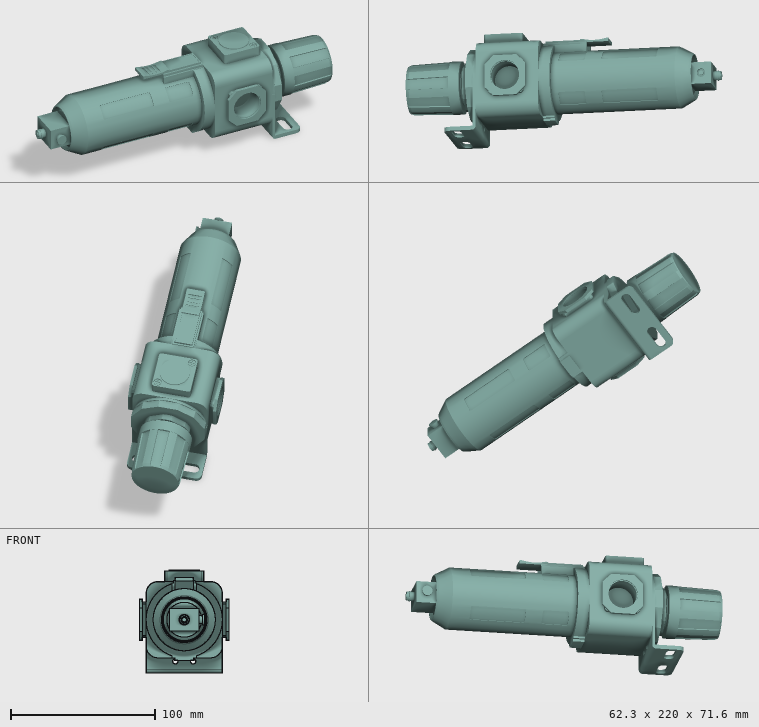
import cadquery as cq


LENGTH = 220.0

KNOB_GRIP_END = 30.1
KNOB_END = 37.6
NECK_END = 39.5
NUT_END = 43.8
COLLAR_END = 49.3
BODY_START = 51.3
BODY_END = 95.5
RING_END = 103.5
BOWL_EDGE = 190.7
BOWL_END = 201.0
DRAIN_BLOCK_END = 214.3

BODY_HALF = 26.5
BODY_CORNER_RADIUS = 8.1
KNOB_TOP_RADIUS = 17.4
KNOB_GRIP_RADIUS = 18.3
KNOB_RIM_RADIUS = 18.5
KNOB_EDGE_WIDTH = 0.9
KNOB_EDGE_LENGTH = 2.2
NECK_RADIUS = 12.5
NECK_RING_RADIUS = 13.6
NECK_RING_WIDTH = 0.7
NUT_FLAT_DISTANCE = 32.1
NUT_TIP_RADIUS = 17.0
COLLAR_CORNERS = ((6.8, 25.0), (18.5, 18.7), (26.0, 6.4))
BOWL_RADIUS = 21.5
BOWL_END_RADIUS = 16.7

GROOVE_COUNT = 8
GROOVE_FLOOR_WIDTH = 7.0
GROOVE_RIM_WIDTH = 8.8
GROOVE_DEPTH = 1.3
GROOVE_START = 0.7
GROOVE_CLEARANCE = 2.2

PLATE_BOTTOM = -37.0
PLATE_TOP_RADIUS = 26.2
FOOT_THICKNESS = 2.9
FOOT_START = 28.5
FOOT_CORNER_RADIUS = 4.0
BEND_RADIUS = 2.6
FOOT_SLOT_WIDTH = 6.8
FOOT_SLOT_OUTER = 23.8
FOOT_SLOT_INNER = 6.5
FOOT_SLOT_STATION = 36.7
PLATE_HOLE_DIAMETER = 3.5
PLATE_HOLE_X = 6.2
PLATE_HOLE_Z = -28.8
GUSSET_SIDE = 4.2
GUSSET_WIDTH = 4.2

PORT_STATION = 72.8
PORT_SPAN = 62.3
PORT_FACE_X = PORT_SPAN / 2
PORT_FLANGE_WIDTH = 28.5
PORT_FLANGE_CHAMFER = 6.2
PORT_FLANGE_THICKNESS = 2.2
PORT_NECK_WIDTH = 24.6
PORT_NECK_CHAMFER = 1.5
PORT_DIAMETER = 21.0
PORT_DEPTH = 15.5
PORT_LIP_DEPTH = 1.0
PORT_BORE_DIAMETER = 19.8

GAUGE_WIDTH = 27.3
GAUGE_STATION = 68.2
GAUGE_TOP = 33.9
GAUGE_CORNER_RADIUS = 1.5
GAUGE_DISC_DIAMETER = 21.0
GAUGE_DISC_HEIGHT = 0.7
SCREW_OFFSET = 10.1
SCREW_POCKET_DIAMETER = 5.5
SCREW_POCKET_DEPTH = 0.9
SCREW_HEAD_DIAMETER = 4.8
SCREW_HEAD_HEIGHT = 0.7
SCREW_CROSS_LENGTH = 3.5
SCREW_CROSS_WIDTH = 0.9

WINDOW_WIDTH = 10.5
WINDOW_DEPTH = 0.7
WINDOW_CORNER_RADIUS = 0.9
SHORT_WINDOW = (108.2, 126.7)
LONG_WINDOW = (138.5, 177.3)

LATCH_HALF_WIDTH = 6.4
LATCH_START = 96.5
LATCH_PANEL_END = 121.0
LATCH_END = 141.0
LATCH_TOP = 28.5
LATCH_BOTTOM = 26.8
LATCH_GRIP_TOP = 28.2
LATCH_RIDGE_TOP = 29.3
LATCH_RIDGE_WIDTH = 1.5
PANEL_HALF_WIDTH = 5.5
PANEL_START = 97.5
PANEL_DEPTH = 0.33
GRIP_SLOT_LENGTH = 9.2
GRIP_SLOT_WIDTH = 1.8
GRIP_SLOT_DEPTH = 0.33
GRIP_SLOT_STATIONS = (127.5, 130.2, 133.5, 136.2)
HOUSING_HALF_WIDTH = 8.5
HOUSING_STEP_Z = 25.3
HOUSING_UPPER_HALF_WIDTH = 7.5
HOUSING_CAVITY_HALF_WIDTH = 6.4
HOUSING_END = 126.0
HOUSING_TOP = 27.0
LOWER_TAB_BOTTOM = -28.2
LOWER_TAB_HALF_WIDTH = 6.5
LOWER_TAB_STEP_Z = -26.5

LIP_LENGTH = 1.3
LIP_RADIUS = 15.8
RECESS_RADIUS = 15.2
RECESS_DEPTH = 4.0
PLUG_BASE_RADIUS = 14.5
PLUG_TOP_RADIUS = 12.0
PLUG_TOP_DEPTH = 1.8

DRAIN_BLOCK_WIDTH = 20.7
DRAIN_BLOCK_HEIGHT = 15.5
DRAIN_STEM_DIAMETER = 6.4
DRAIN_FLANGE_DIAMETER = 7.3
DRAIN_FLANGE_STATION = 217.1
DRAIN_FLANGE_THICKNESS = 0.7
DRAIN_BORE_DIAMETER = 4.5
DRAIN_PIN_DIAMETER = 3.0
DRAIN_STEM_END = 219.5
DRAIN_BORE_START = 217.4
SIDE_STATION = 207.2
SIDE_STEM_DIAMETER = 5.5
SIDE_HEAD_DIAMETER = 7.0
SIDE_HEAD_THICKNESS = 1.0
SIDE_HEAD_END = 13.9
SIDE_HOLE_DIAMETER = 6.0
SIDE_HOLE_DEPTH = 1.0
SIDE_PIN_DIAMETER = 3.0


def section(station):
    """Sketch plane across the axis; local X and Y are global X and Z, extruding towards -Y."""
    return cq.Workplane("XZ", origin=(0, -station, 0))


def rod(radius, start, end):
    return section(start).circle(radius).extrude(end - start)


def centred_block(half_width, stations, z_range):
    """Box centred on X = 0, between two stations and two values in Z."""
    size = (2 * half_width, stations[1] - stations[0], z_range[1] - z_range[0])
    corner = (-half_width, -stations[1], z_range[0])
    return cq.Workplane("XY", origin=corner).box(*size, centered=False)


def revolved(points):
    """Solid of revolution from (radius, station) points."""
    outline = [(radius, -station) for radius, station in points]
    return cq.Workplane("XY").polyline(outline).close().revolve(360, (0, 0, 0), (0, 1, 0))


def knob():
    grip = revolved([
        (0, 0),
        (KNOB_TOP_RADIUS - KNOB_EDGE_WIDTH, 0),
        (KNOB_TOP_RADIUS, KNOB_EDGE_LENGTH),
        (KNOB_GRIP_RADIUS, KNOB_GRIP_END),
        (KNOB_RIM_RADIUS, KNOB_GRIP_END),
        (KNOB_RIM_RADIUS, KNOB_END),
        (0, KNOB_END),
    ])
    floor_start = KNOB_TOP_RADIUS - GROOVE_DEPTH
    floor_end = KNOB_GRIP_RADIUS - GROOVE_DEPTH
    groove_top = KNOB_RIM_RADIUS + GROOVE_CLEARANCE
    groove = (
        cq.Workplane("YZ")
        .polyline([
            (-GROOVE_START, floor_start),
            (-KNOB_GRIP_END, floor_end),
            (-KNOB_GRIP_END, groove_top),
            (-GROOVE_START, groove_top),
        ])
        .close()
        .extrude(GROOVE_RIM_WIDTH, both=True)
    )
    flare = (
        section(GROOVE_START)
        .polyline([
            (-GROOVE_FLOOR_WIDTH / 2, floor_start),
            (GROOVE_FLOOR_WIDTH / 2, floor_start),
            (GROOVE_RIM_WIDTH / 2, KNOB_RIM_RADIUS),
            (GROOVE_RIM_WIDTH / 2, groove_top),
            (-GROOVE_RIM_WIDTH / 2, groove_top),
            (-GROOVE_RIM_WIDTH / 2, KNOB_RIM_RADIUS),
        ])
        .close()
        .extrude(KNOB_GRIP_END - GROOVE_START)
    )
    groove = groove.intersect(flare)
    for index in range(GROOVE_COUNT):
        angle = index * 360 / GROOVE_COUNT
        grip = grip.cut(groove.rotate((0, 0, 0), (0, 1, 0), angle))
    return grip


def nut_and_collar():
    neck = rod(NECK_RADIUS, KNOB_END, NECK_END)
    ring_start = (KNOB_END + NECK_END - NECK_RING_WIDTH) / 2
    neck = neck.union(rod(NECK_RING_RADIUS, ring_start, ring_start + NECK_RING_WIDTH))
    hexagon = section(NECK_END).polygon(6, NUT_FLAT_DISTANCE, circumscribed=True)
    nut = hexagon.extrude(NUT_END - NECK_END)
    nut = nut.intersect(rod(NUT_TIP_RADIUS, NECK_END, NUT_END))
    right = list(COLLAR_CORNERS) + [(x, -z) for x, z in reversed(COLLAR_CORNERS)]
    left = [(-x, -z) for x, z in right]
    collar = section(NUT_END).polyline(right + left).close().extrude(COLLAR_END - NUT_END)
    return neck.union(nut).union(collar)


def bracket():
    plate = rod(PLATE_TOP_RADIUS, COLLAR_END, BODY_START)
    plate = plate.union(centred_block(BODY_HALF, (COLLAR_END, BODY_START), (PLATE_BOTTOM, 0)))
    holes = section(COLLAR_END).pushPoints([(-PLATE_HOLE_X, PLATE_HOLE_Z), (PLATE_HOLE_X, PLATE_HOLE_Z)])
    plate = plate.cut(holes.circle(PLATE_HOLE_DIAMETER / 2).extrude(BODY_START - COLLAR_END))

    foot_top = PLATE_BOTTOM + FOOT_THICKNESS
    foot = centred_block(BODY_HALF, (FOOT_START, BODY_START), (PLATE_BOTTOM, foot_top))
    foot = foot.edges("|Z and >Y").fillet(FOOT_CORNER_RADIUS)
    slot_length = FOOT_SLOT_OUTER - FOOT_SLOT_INNER
    slot_x = (FOOT_SLOT_OUTER + FOOT_SLOT_INNER) / 2
    slots = (
        cq.Workplane("XY", origin=(0, -FOOT_SLOT_STATION, PLATE_BOTTOM))
        .pushPoints([(-slot_x, 0), (slot_x, 0)])
        .slot2D(slot_length, FOOT_SLOT_WIDTH)
        .extrude(FOOT_THICKNESS)
    )
    angle = plate.union(foot.cut(slots)).edges("|X and <Y and <Z").fillet(BEND_RADIUS)

    gusset = (
        cq.Workplane("YZ", origin=(0, -COLLAR_END, foot_top))
        .polyline([(0, 0), (GUSSET_SIDE, 0), (0, GUSSET_SIDE)])
        .close()
        .extrude(GUSSET_WIDTH / 2, both=True)
    )
    return angle.union(gusset)


def body():
    square = section(BODY_START).rect(2 * BODY_HALF, 2 * BODY_HALF).extrude(BODY_END - BODY_START)
    return square.edges("|Y").fillet(BODY_CORNER_RADIUS)


def port_plane(x):
    return cq.Workplane("YZ", origin=(x, -PORT_STATION, 0))


def port_boss():
    """Boss on the +X side; the -X one is its mirror image."""
    flange_back = PORT_FACE_X - PORT_FLANGE_THICKNESS
    neck = port_plane(0).rect(PORT_NECK_WIDTH, PORT_NECK_WIDTH).extrude(flange_back)
    neck = neck.edges("|X").chamfer(PORT_NECK_CHAMFER)
    flange = port_plane(flange_back).rect(PORT_FLANGE_WIDTH, PORT_FLANGE_WIDTH)
    flange = flange.extrude(PORT_FLANGE_THICKNESS).edges("|X").chamfer(PORT_FLANGE_CHAMFER)
    return neck.union(flange)


def port_hole():
    bore = port_plane(PORT_FACE_X).circle(PORT_BORE_DIAMETER / 2).extrude(-PORT_DEPTH)
    lip = port_plane(PORT_FACE_X).circle(PORT_DIAMETER / 2).extrude(-PORT_LIP_DEPTH)
    return bore.union(lip)


def gauge_block():
    base = cq.Workplane("XY", origin=(0, -GAUGE_STATION, 0)).rect(GAUGE_WIDTH, GAUGE_WIDTH)
    base = base.extrude(GAUGE_TOP).edges("|Z").fillet(GAUGE_CORNER_RADIUS)
    top = cq.Workplane("XY", origin=(0, -GAUGE_STATION, GAUGE_TOP))
    screws = top.pushPoints([(SCREW_OFFSET, SCREW_OFFSET), (-SCREW_OFFSET, -SCREW_OFFSET)])
    base = base.cut(screws.circle(SCREW_POCKET_DIAMETER / 2).extrude(-SCREW_POCKET_DEPTH))
    return base.union(top.circle(GAUGE_DISC_DIAMETER / 2).extrude(GAUGE_DISC_HEIGHT))


def gauge_screw(offset):
    """Cross-recessed screw head standing in its pocket."""
    floor = GAUGE_TOP - SCREW_POCKET_DEPTH
    centre = cq.Workplane("XY", origin=(offset, offset - GAUGE_STATION, floor))
    head = centre.circle(SCREW_HEAD_DIAMETER / 2).extrude(SCREW_HEAD_HEIGHT)
    cross = centre.rect(SCREW_CROSS_LENGTH, SCREW_CROSS_WIDTH).extrude(SCREW_HEAD_HEIGHT)
    cross = cross.union(centre.rect(SCREW_CROSS_WIDTH, SCREW_CROSS_LENGTH).extrude(SCREW_HEAD_HEIGHT))
    return head.cut(cross)


def bowl():
    shell = revolved([
        (0, BODY_END),
        (BODY_HALF, BODY_END),
        (BODY_HALF, RING_END),
        (BOWL_RADIUS, RING_END),
        (BOWL_RADIUS, BOWL_EDGE),
        (BOWL_END_RADIUS, BOWL_END - LIP_LENGTH),
        (LIP_RADIUS, BOWL_END),
        (RECESS_RADIUS, BOWL_END),
        (RECESS_RADIUS, BOWL_END - RECESS_DEPTH),
        (PLUG_BASE_RADIUS, BOWL_END - RECESS_DEPTH),
        (PLUG_TOP_RADIUS, BOWL_END - PLUG_TOP_DEPTH),
        (0, BOWL_END - PLUG_TOP_DEPTH),
    ])
    for start, end in (SHORT_WINDOW, LONG_WINDOW):
        window = centred_block(WINDOW_WIDTH / 2, (start, end), (0, BODY_HALF))
        window = window.edges("|Z").fillet(WINDOW_CORNER_RADIUS)
        window = window.cut(rod(BOWL_RADIUS - WINDOW_DEPTH, start, end))
        for angle in (45, 135, 225, 315):
            shell = shell.cut(window.rotate((0, 0, 0), (0, 1, 0), angle))
    return shell


def latch_housing():
    stations = (BODY_END, HOUSING_END)
    upper = centred_block(HOUSING_HALF_WIDTH, stations, (0, HOUSING_STEP_Z))
    upper = upper.union(centred_block(HOUSING_UPPER_HALF_WIDTH, stations, (0, HOUSING_TOP)))
    cavity = centred_block(HOUSING_CAVITY_HALF_WIDTH, (RING_END, HOUSING_END), (0, HOUSING_TOP))
    cavity = cavity.cut(rod(BOWL_RADIUS, RING_END, HOUSING_END))
    upper = upper.cut(cavity)
    ring_stations = (BODY_END, RING_END)
    lower = centred_block(HOUSING_HALF_WIDTH, ring_stations, (LOWER_TAB_STEP_Z, 0))
    lower = lower.union(centred_block(LOWER_TAB_HALF_WIDTH, ring_stations, (LOWER_TAB_BOTTOM, 0)))
    return upper.union(lower)


def latch():
    grip_start = LATCH_PANEL_END + LATCH_RIDGE_WIDTH
    grip_end = LATCH_END - LATCH_RIDGE_WIDTH
    grip_middle = (grip_start + grip_end) / 2
    lever = (
        cq.Workplane("YZ")
        .moveTo(-LATCH_START, LATCH_BOTTOM)
        .lineTo(-LATCH_START, LATCH_TOP)
        .lineTo(-LATCH_PANEL_END, LATCH_TOP)
        .lineTo(-LATCH_PANEL_END, LATCH_RIDGE_TOP)
        .lineTo(-grip_start, LATCH_RIDGE_TOP)
        .threePointArc((-grip_middle, LATCH_GRIP_TOP), (-grip_end, LATCH_RIDGE_TOP))
        .lineTo(-LATCH_END, LATCH_RIDGE_TOP)
        .lineTo(-LATCH_END, LATCH_BOTTOM)
        .close()
        .extrude(LATCH_HALF_WIDTH, both=True)
    )
    panel_heights = (LATCH_TOP - PANEL_DEPTH, LATCH_TOP)
    lever = lever.cut(centred_block(PANEL_HALF_WIDTH, (PANEL_START, LATCH_PANEL_END), panel_heights))
    for station in GRIP_SLOT_STATIONS:
        stations = (station - GRIP_SLOT_WIDTH / 2, station + GRIP_SLOT_WIDTH / 2)
        floor = LATCH_GRIP_TOP - GRIP_SLOT_DEPTH
        lever = lever.cut(centred_block(GRIP_SLOT_LENGTH / 2, stations, (floor, LATCH_RIDGE_TOP)))
    return lever


def drain():
    stations = (BOWL_END - RECESS_DEPTH, DRAIN_BLOCK_END)
    half_height = DRAIN_BLOCK_HEIGHT / 2
    half_width = DRAIN_BLOCK_WIDTH / 2
    valve = centred_block(half_width, stations, (-half_height, half_height))

    flange_end = DRAIN_FLANGE_STATION + DRAIN_FLANGE_THICKNESS
    stem = rod(DRAIN_STEM_DIAMETER / 2, DRAIN_BLOCK_END, DRAIN_STEM_END)
    stem = stem.union(rod(DRAIN_FLANGE_DIAMETER / 2, DRAIN_FLANGE_STATION, flange_end))
    stem = stem.cut(rod(DRAIN_BORE_DIAMETER / 2, DRAIN_BORE_START, DRAIN_STEM_END))
    stem = stem.union(rod(DRAIN_PIN_DIAMETER / 2, DRAIN_BORE_START, LENGTH))

    side_plane = cq.Workplane("YZ", origin=(0, -SIDE_STATION, 0))
    button = side_plane.circle(SIDE_STEM_DIAMETER / 2).extrude(SIDE_HEAD_END)
    head = side_plane.workplane(offset=SIDE_HEAD_END - SIDE_HEAD_THICKNESS)
    button = button.union(head.circle(SIDE_HEAD_DIAMETER / 2).extrude(SIDE_HEAD_THICKNESS))

    hole_plane = side_plane.workplane(offset=-half_width)
    hole = hole_plane.circle(SIDE_HOLE_DIAMETER / 2).extrude(SIDE_HOLE_DEPTH)
    hole = hole.cut(hole_plane.circle(SIDE_PIN_DIAMETER / 2).extrude(SIDE_HOLE_DEPTH))
    return valve.union(button).cut(hole).union(stem)


result = body().union(bracket()).union(nut_and_collar()).union(knob())
result = result.union(bowl()).union(latch_housing()).union(latch()).union(drain())
result = result.union(gauge_block())
for screw_position in (SCREW_OFFSET, -SCREW_OFFSET):
    result = result.union(gauge_screw(screw_position))
result = result.union(port_boss()).union(port_boss().mirror("YZ"))
result = result.cut(port_hole()).cut(port_hole().mirror("YZ"))